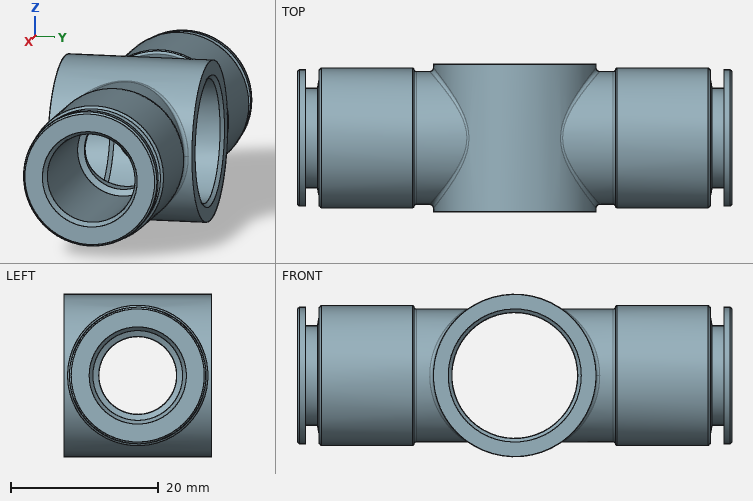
import cadquery as cq
import math

SLEEVE_DIAMETER = 22.0
SLEEVE_LENGTH = 20.0
SLEEVE_BORE_DIAMETER = 17.0
SLEEVE_MOUTH_DIAMETER = 18.0
SLEEVE_MOUTH_DEPTH = 0.5
GROOVE_DIAMETER = 18.0
GROOVE_FLOOR_WIDTH = 10.5

ARM_DIAMETER = 18.0
ARM_FILLET = 0.5
BODY_DIAMETER = 19.0
BODY_START = 13.65
BODY_END = 26.5
BODY_START_FILLET = 0.35
BODY_END_CHAMFER = 0.35
END_CONE_DIAMETER = 15.6
END_CONE_HEIGHT = 0.2

TIP = 58.8 / 2
NECK_DIAMETER = 13.5
FLANGE_DIAMETER = 18.5
FLANGE_THICKNESS = 1.1
FLANGE_CHAMFER = 0.25

MOUTH_DIAMETER = 13.15
MOUTH_DEPTH = 0.85
BORE_OUTER_DIAMETER = 12.15
BORE_INNER_DIAMETER = 10.5
SHOULDER_START = 9.5
SHOULDER_LENGTH = 0.475


def revolve_about_x(profile):
    """Revolve a closed outline of (x, radius) points about the X axis."""
    return cq.Workplane("XY").polyline(profile).close().revolve(360, (0, 0), (1, 0))


def make_junction():
    """Solid sleeve crossed by the plain arms, with the joint edges filleted."""
    arms = cq.Workplane("YZ").circle(ARM_DIAMETER / 2).extrude(BODY_START, both=True)
    sleeve = cq.Workplane("XZ").circle(SLEEVE_DIAMETER / 2).extrude(SLEEVE_LENGTH / 2, both=True)
    joint_edges = cq.selectors.BoxSelector(
        (-SLEEVE_DIAMETER / 2, -ARM_DIAMETER / 2, -ARM_DIAMETER / 2),
        (SLEEVE_DIAMETER / 2, ARM_DIAMETER / 2, ARM_DIAMETER / 2),
    )
    return sleeve.union(arms).edges(joint_edges).fillet(ARM_FILLET)


def make_arm_end():
    """Thick body, neck and flanged collar of the +X arm, still solid.

    A concave fillet and a 45 degree chamfer together bridge the step from arm to body.
    """
    arm_radius = ARM_DIAMETER / 2
    body_radius = BODY_DIAMETER / 2
    neck_radius = NECK_DIAMETER / 2
    flange_radius = FLANGE_DIAMETER / 2
    flange_start = TIP - FLANGE_THICKNESS
    fillet_start = BODY_START - BODY_START_FILLET
    fillet_top = arm_radius + BODY_START_FILLET
    fillet_middle = (
        fillet_start + BODY_START_FILLET * math.sin(math.radians(45)),
        fillet_top - BODY_START_FILLET * math.cos(math.radians(45)),
    )
    return (
        cq.Workplane("XY")
        .moveTo(fillet_start, 0)
        .lineTo(fillet_start, arm_radius)
        .threePointArc(fillet_middle, (BODY_START, fillet_top))
        .lineTo(BODY_START + body_radius - fillet_top, body_radius)
        .lineTo(BODY_END - BODY_END_CHAMFER, body_radius)
        .lineTo(BODY_END, body_radius - BODY_END_CHAMFER)
        .lineTo(BODY_END, END_CONE_DIAMETER / 2)
        .lineTo(BODY_END + END_CONE_HEIGHT, neck_radius)
        .lineTo(flange_start, neck_radius)
        .lineTo(flange_start, flange_radius)
        .lineTo(TIP - FLANGE_CHAMFER, flange_radius)
        .lineTo(TIP, flange_radius - FLANGE_CHAMFER)
        .lineTo(TIP, 0)
        .close()
        .revolve(360, (0, 0), (1, 0))
    )


def make_arm_bore():
    """Cutter for the +X arm: flared mouth, tube socket, conical shoulder, narrow hole."""
    return revolve_about_x([
        (0, 0),
        (0, BORE_INNER_DIAMETER / 2),
        (SHOULDER_START, BORE_INNER_DIAMETER / 2),
        (SHOULDER_START + SHOULDER_LENGTH, BORE_OUTER_DIAMETER / 2),
        (TIP - MOUTH_DEPTH, BORE_OUTER_DIAMETER / 2),
        (TIP, MOUTH_DIAMETER / 2),
        (TIP, 0),
    ])


def make_sleeve_bore():
    """Cutter along Y: bore with conical mouths and a wide middle groove with 45 degree sides."""
    mouth_radius = SLEEVE_MOUTH_DIAMETER / 2
    bore_radius = SLEEVE_BORE_DIAMETER / 2
    groove_radius = GROOVE_DIAMETER / 2
    end = SLEEVE_LENGTH / 2
    mouth_end = end - SLEEVE_MOUTH_DEPTH
    floor_end = GROOVE_FLOOR_WIDTH / 2
    groove_end = floor_end + groove_radius - bore_radius
    half_profile = [
        (0, 0),
        (groove_radius, 0),
        (groove_radius, floor_end),
        (bore_radius, groove_end),
        (bore_radius, mouth_end),
        (mouth_radius, end),
        (0, end),
    ]
    half_bore = cq.Workplane("XY").polyline(half_profile).close().revolve(360, (0, 0), (0, 1))
    return with_mirror(half_bore, "XZ")


def with_mirror(shape, plane):
    """The shape together with its mirror image."""
    return shape.union(shape.mirror(plane))


result = make_junction().union(with_mirror(make_arm_end(), "YZ"))
result = result.cut(make_sleeve_bore())
result = result.cut(with_mirror(make_arm_bore(), "YZ"))